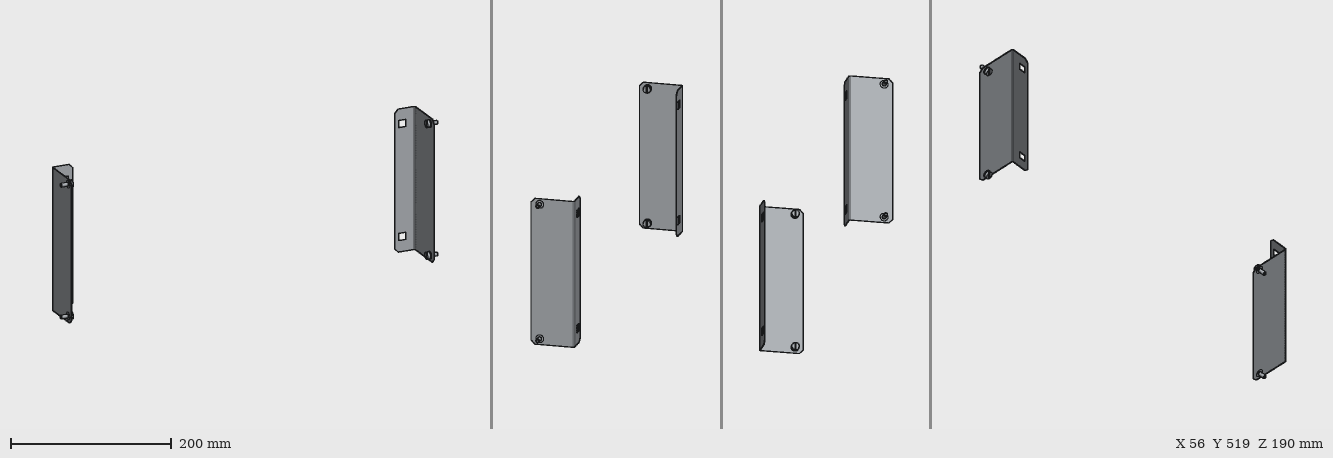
import cadquery as cq

plate_span = 500.0
bracket_height = 190.0
face_width = 56.0
flange_depth = 28.5
sheet_thickness = 1.0
bend_inner_radius = 1.0
bend_outer_radius = bend_inner_radius + sheet_thickness
corner_chamfer = 5.0

square_hole_size = 9.5
square_hole_from_free_edge = 10.5
square_hole_from_end = 20.0

screw_from_side = 11.0
screw_from_end = 7.5

screw_diameter = 5.0
tip_chamfer = 1.0
screw_length = 12.0
head_diameter = 9.5
head_height = 3.7
slot_width = 1.2
slot_depth = 1.3

washer_diameter = 10.0
washer_thickness = 1.5

outer_face_y = -plate_span / 2
inner_face_y = outer_face_y + sheet_thickness
head_seat_y = inner_face_y + washer_thickness
screw_x = face_width - screw_from_side
screw_z = bracket_height / 2 - screw_from_end
square_hole_y = outer_face_y + flange_depth - square_hole_from_free_edge
square_hole_z = bracket_height / 2 - square_hole_from_end
end_signs = (-1, 1)


def cylinder_along_y(diameter, start_y, length, z):
    """Cylinder on the screw axis, running toward +Y from start_y."""
    axis_start = cq.Vector(screw_x, start_y, z)
    return cq.Workplane(cq.Solid.makeCylinder(diameter / 2, length, axis_start, cq.Vector(0, 1, 0)))


def rounded_block(bend_radius):
    """Block of the bracket's overall size with its bend edge rounded."""
    block = cq.Workplane().box(face_width, flange_depth, bracket_height, centered=(False, False, True))
    return block.edges("|Z and <X and <Y").fillet(bend_radius)


def make_bracket():
    """Bent sheet: face across X at the -Y end, flange along Y at X = 0."""
    hollow = rounded_block(bend_inner_radius).translate((sheet_thickness, sheet_thickness, 0))
    bracket = rounded_block(bend_outer_radius).cut(hollow)
    bracket = bracket.edges("|Y and >X").chamfer(corner_chamfer)
    bracket = bracket.edges("|X and >Y").chamfer(corner_chamfer)
    bracket = bracket.translate((0, outer_face_y, 0))

    square_cutter = cq.Workplane().box(square_hole_size, square_hole_size, square_hole_size)
    for sign in end_signs:
        bracket = bracket.cut(square_cutter.translate((0, square_hole_y, sign * square_hole_z)))
        bracket = bracket.cut(cylinder_along_y(screw_diameter, outer_face_y, sheet_thickness, sign * screw_z))
    return bracket


def make_screw(z):
    """Cylinder-head screw pointing toward -Y, with a chamfered tip and a slot along Z."""
    shank = cylinder_along_y(screw_diameter, head_seat_y - screw_length, screw_length, z)
    shank = shank.faces("<Y").chamfer(tip_chamfer)
    head = cylinder_along_y(head_diameter, head_seat_y, head_height, z)
    slot = cq.Workplane().box(slot_width, slot_depth, head_diameter, centered=(True, False, True))
    slot = slot.translate((screw_x, head_seat_y + head_height - slot_depth, z))
    return shank.union(head).cut(slot)


def make_washer(z):
    """Flat ring between the face and the screw head."""
    disc = cylinder_along_y(washer_diameter, inner_face_y, washer_thickness, z)
    return disc.cut(cylinder_along_y(screw_diameter, inner_face_y, washer_thickness, z))


near_end_bodies = [make_bracket()]
for sign in end_signs:
    near_end_bodies.append(make_screw(sign * screw_z))
    near_end_bodies.append(make_washer(sign * screw_z))

far_end_bodies = [body.mirror("XZ") for body in near_end_bodies]

result = cq.Compound.makeCompound([body.val() for body in near_end_bodies + far_end_bodies])